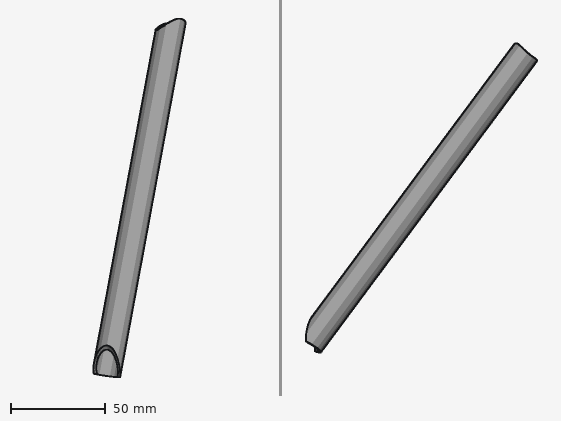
import cadquery as cq
import math

outer_diameter = 15.0
wall = 1.5
axis_point = cq.Vector(1.1, -1.1, 0)
axis_direction = cq.Vector(58, -52.2, -100).normalized()
blank_length = 256.4

upper_cope_radius = 10.5
upper_cope_x = -47.1
upper_cope_z = 82.5

lower_cope_radius = 16
lower_cope_x = 54.6
lower_cope_y = -50.2

trim_x = 40.4
trim_y = -36.5
trim_z = -80.1
trim_slope = 30
trim_size = 48

cope_length = 320.5


def make_cylinder(center, direction, radius, length):
    """Solid cylinder centred on a point along a unit direction."""
    start = center - direction * (length / 2)
    return cq.Workplane(cq.Solid.makeCylinder(radius, length, start, direction))


outer_radius = outer_diameter / 2
outside = make_cylinder(axis_point, axis_direction, outer_radius, blank_length)
bore = make_cylinder(axis_point, axis_direction, outer_radius - wall, blank_length)

upper_cope = make_cylinder(
    cq.Vector(upper_cope_x, 0, upper_cope_z), cq.Vector(0, 1, 0), upper_cope_radius, cope_length
)
lower_cope = make_cylinder(
    cq.Vector(lower_cope_x, lower_cope_y, 0), cq.Vector(0, 0, 1), lower_cope_radius, cope_length
)

heading = cq.Vector(axis_direction.x, axis_direction.y, 0).normalized()
slope = math.radians(trim_slope)
trim_normal = cq.Vector(0, 0, math.cos(slope)) - heading * math.sin(slope)
trim_plane = cq.Plane(
    origin=(trim_x, trim_y, trim_z), xDir=cq.Vector(0, 0, 1).cross(heading), normal=trim_normal
)
trim_block = cq.Workplane(trim_plane).rect(trim_size, trim_size).extrude(-trim_size)

pieces = outside.cut(bore).cut(upper_cope).cut(lower_cope).cut(trim_block)
result = pieces.solids(cq.selectors.NearestToPointSelector(axis_point.toTuple()))